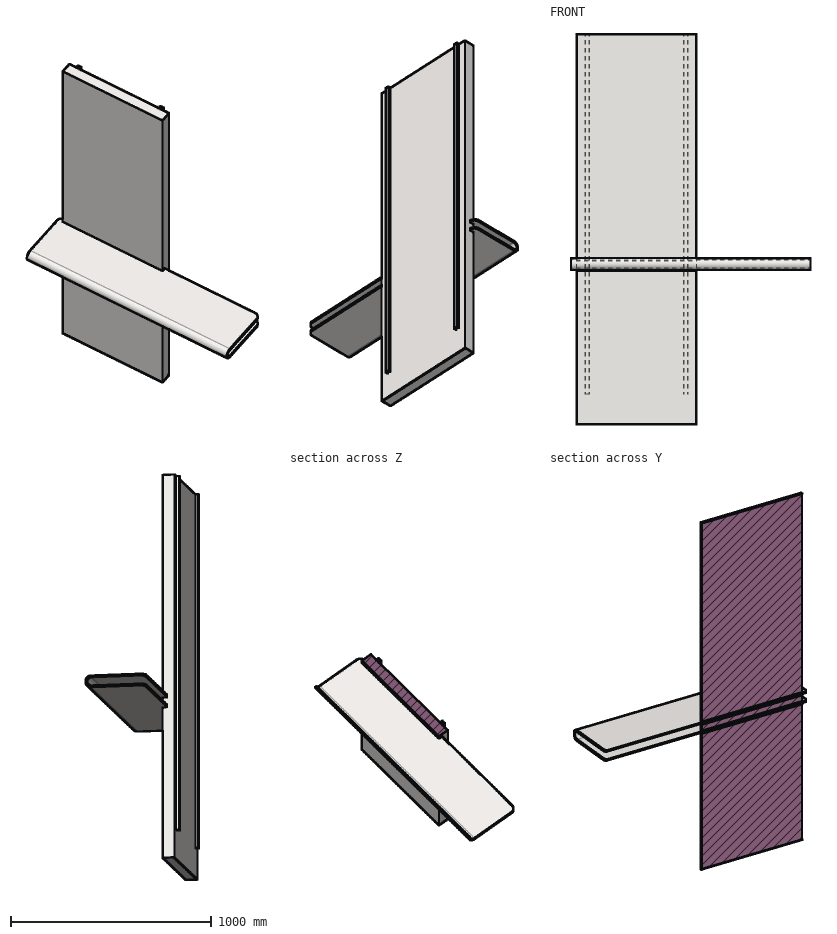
import cadquery as cq

PANEL_WIDTH = 599.0
PANEL_DEPTH = 60.0
TOTAL_HEIGHT = 1950.0
SLOT_CLEARANCE = 4.0

BASE_STRIP_HEIGHT = 2.0
BASE_STRIP_SETBACK = 4.0

SHELF_LENGTH = 1200.0
SHELF_OVERHANG = 30.0
SHELF_TOP = 830.0
SHELF_HEIGHT = 60.0
SHEET_THICKNESS = 10.0
SHELF_REACH = 280.0
SHELF_INSERTION = 21.0
CORNER_RADIUS = 30.0

RAIL_WIDTH = 21.0
RAIL_DEPTH = 15.0
RAIL_WALL = 2.0
RAIL_BOTTOM = 150.0
RAIL_INSET = 53.0

shelf_mid_height = SHELF_TOP - SHELF_HEIGHT / 2
bend_radius = SHELF_HEIGHT / 2
bend_center_y = bend_radius - SHELF_REACH
rail_centers = [RAIL_INSET, PANEL_WIDTH - RAIL_INSET]


def u_prism(radius):
    """Solid with a half-round front, running the length of the shelf."""
    return (
        cq.Workplane("YZ", origin=(-SHELF_OVERHANG, 0, shelf_mid_height))
        .moveTo(SHELF_INSERTION, radius)
        .lineTo(bend_center_y, radius)
        .threePointArc((bend_center_y - radius, 0), (bend_center_y, -radius))
        .lineTo(SHELF_INSERTION, -radius)
        .close()
        .extrude(SHELF_LENGTH)
    )


def make_shelf():
    rounded_block = u_prism(bend_radius).edges("|Z and >Y").fillet(CORNER_RADIUS)
    return rounded_block.cut(u_prism(bend_radius - SHEET_THICKNESS))


def make_panel(shelf):
    """Board with two slots that receive the legs of the shelf, with play below each leg."""
    board = cq.Workplane("XY").box(PANEL_WIDTH, PANEL_DEPTH, TOTAL_HEIGHT, centered=False)
    clearance_below = shelf.translate((0, 0, -SLOT_CLEARANCE))
    return board.cut(make_base_strip()).cut(shelf).cut(clearance_below)


def make_base_strip():
    return cq.Workplane("XY").box(
        PANEL_WIDTH, PANEL_DEPTH - BASE_STRIP_SETBACK, BASE_STRIP_HEIGHT, centered=False
    )


def make_rail(center_x):
    """Channel whose open side lies against the back of the panel."""
    height = TOTAL_HEIGHT - RAIL_BOTTOM
    base = cq.Workplane("XY", origin=(center_x, PANEL_DEPTH, RAIL_BOTTOM))
    bar = base.box(RAIL_WIDTH, RAIL_DEPTH, height, centered=(True, False, False))
    channel = base.box(
        RAIL_WIDTH - 2 * RAIL_WALL, RAIL_DEPTH - RAIL_WALL, height, centered=(True, False, False)
    )
    return bar.cut(channel)


shelf = make_shelf()
panel = make_panel(shelf)
base_strip = make_base_strip()
rails = [make_rail(center_x) for center_x in rail_centers]

result = cq.Compound.makeCompound(
    [panel.val(), base_strip.val(), shelf.val(), *[rail.val() for rail in rails]]
)